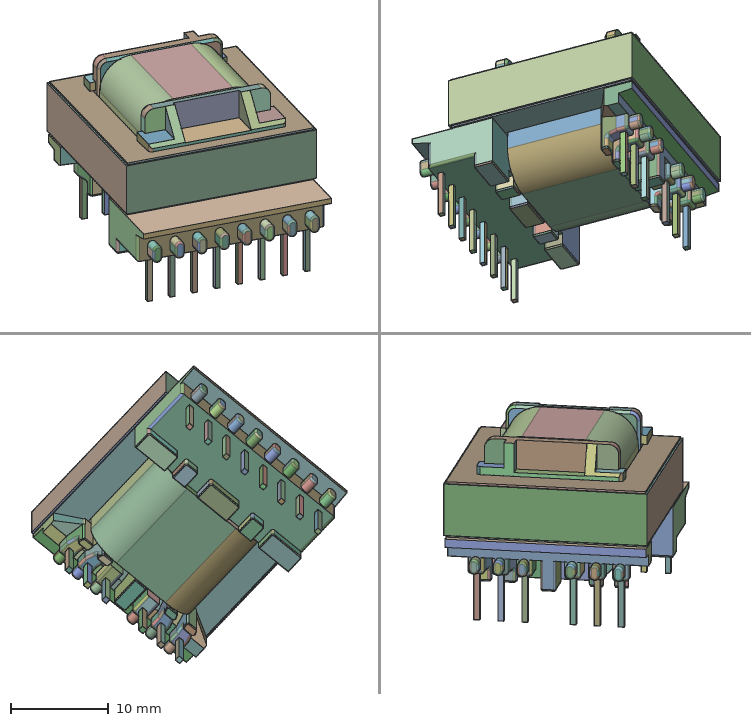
import cadquery as cq


OVERALL_LENGTH = 24.9
OVERALL_HEIGHT = 18.91

CORE_LENGTH = 20.74
CORE_WIDTH = 21.12
CORE_HEIGHT = 5.9
CORE_STEP = 0.2
WINDOW_LENGTH = 14.0
WINDOW_WIDTH = 14.2
LEG_WIDTH = 5.9

FLANGE_INNER_X = 5.47
FLANGE_OUTER_X = 6.75
FLANGE_HALF_WIDTH = 6.97
FLANGE_CORNER_RADIUS = 1.0
FLANGE_CHAMFER = 0.29
TUBE_HALF_WIDTH = 3.06
SEAT_Z = 3.14
TOP_Z = 6.76
WINDING_HALF_WIDTH = 6.8
WINDING_BOTTOM_Z = -8.2
WINDING_RADIUS = 3.48

LIP_INNER_X = 6.13
LIP_HALF_WIDTH = 7.6
LIP_END_TOP_Z = 4.1
LIP_MIDDLE_TOP_Z = 3.65
LIP_CORNER = 0.38
RIB_INNER_Y = 3.66
RIB_OUTER_Y = 4.71
LEFT_LIP_X = -8.03
LEFT_LIP_EDGE_Z = 3.24
LEFT_SLOPE_END_Z = 3.7
RIGHT_LIP_X = 9.5
RIGHT_LIP_EDGE_Z = 3.32
RIGHT_SLOPE_END_Z = 3.7
RIGHT_POCKET_X = 6.35

RAIL_HALF_WIDTH = 10.43
FOOT_BOTTOM_Z = -8.58
HOLDER_BOTTOM_Z = -7.15
EDGE_RADIUS = 0.28
FOOT_TIP_HEIGHT = 0.18
FOOT_TIP_TAPER = 25
FOOT_END_Z = FOOT_BOTTOM_Z + FOOT_TIP_HEIGHT
LEDGE_ROOT_Z = -4.2

LEFT_LEDGE_X = -10.28
LEFT_LEDGE_EDGE_Z = -4.02
LEFT_FACE_X = -8.79
LEFT_SLAB_BOTTOM_Z = -5.37
LEFT_SLAB_INNER_Z = -4.53
LEFT_SLAB_END_X = -7.13
HOLDER_HALF_WIDTH = 0.83
HOLDER_STRAIGHT_END_X = -7.52
FOOT_FACE_X = -6.35
FOOT_CORNER_RADIUS = 0.25
FOOT_BACK_CHAMFER = 0.18
OUTER_FOOT_DRIFT = 0.31
INNER_FOOT_DRIFT = 0.46
FOOT_TAPER = 0.25
SLAB_BACK_HALF_WIDTH = 7.75
POST_HALF_WIDTH = 0.77
POST_RADIUS = 0.2

RIGHT_LEDGE_X = OVERALL_LENGTH - CORE_LENGTH / 2
RIGHT_LEDGE_EDGE_Z = -3.72
RIGHT_FACE_X = 12.77
RIGHT_FOOT_X = 7.62
CORNER_FOOT_INNER_Y = 6.4
INNER_FOOT_NEAR_Y = 3.67
INNER_FOOT_FAR_Y = 5.35
CENTRE_FOOT_HALF_WIDTH = 2.0

PIN_PITCH = 2.5
PIN_BOTTOM_Z = TOP_Z - OVERALL_HEIGHT
LEFT_PIN_X = -8.02
LEFT_PIN_SIZE = 0.6
RIGHT_PIN_X = 12.0
RIGHT_PIN_SIZE = 0.54
STUD_WIDTH = 1.0
STUD_BOTTOM_Z = -6.87
STUD_TIP_RADIUS = 0.2
LEFT_STUD_X = -9.98
LEFT_STUD_TOP_Z = -5.28
RIGHT_STUD_X = 14.28
RIGHT_STUD_TOP_Z = -5.0

LEFT_PIN_ROWS = [side * step * PIN_PITCH for side in (-1, 1) for step in (1, 2, 3)]
RIGHT_PIN_ROWS = [side * (step + 0.5) * PIN_PITCH for side in (-1, 1) for step in range(4)]


def block(x_range, y_range, z_range):
    """Axis-aligned box between the given limits."""
    (x0, x1), (y0, y1), (z0, z1) = x_range, y_range, z_range
    return cq.Workplane("XY").box(x1 - x0, y1 - y0, z1 - z0, centered=False).translate((x0, y0, z0))


def side_profile(points, y_range):
    """Prism with an XZ outline between two Y positions."""
    y0, y1 = y_range
    return cq.Workplane("XZ").polyline(points).close().extrude(y0 - y1).translate((0, y0, 0))


def plan_profile(points, z_range):
    """Prism with an XY outline between two Z positions."""
    z0, z1 = z_range
    return cq.Workplane("XY").polyline(points).close().extrude(z1 - z0).translate((0, 0, z0))


def add_foot_tip(foot):
    """Continue a foot below its straight sides with a short tapered tip."""
    return foot.faces("<Z").wires().toPending().workplane().extrude(FOOT_TIP_HEIGHT, taper=FOOT_TIP_TAPER)


def both_sides(y0, y1):
    """A Y interval and its mirror image."""
    return [(y0, y1), (-y1, -y0)]


def make_core():
    core = cq.Workplane("XY").box(CORE_LENGTH, CORE_WIDTH, CORE_HEIGHT - 2 * CORE_STEP)
    raised = cq.Workplane("XY").box(CORE_LENGTH - 2 * CORE_STEP, CORE_WIDTH - 2 * CORE_STEP, CORE_HEIGHT)
    core = core.union(raised)
    window = cq.Workplane("XY").box(WINDOW_LENGTH, WINDOW_WIDTH, CORE_HEIGHT)
    leg = cq.Workplane("XY").box(WINDOW_LENGTH, LEG_WIDTH, CORE_HEIGHT)
    return core.cut(window.cut(leg))


def make_winding():
    winding = block(
        (-FLANGE_INNER_X, FLANGE_INNER_X),
        (-WINDING_HALF_WIDTH, WINDING_HALF_WIDTH),
        (WINDING_BOTTOM_Z, TOP_Z),
    )
    return winding.edges("|X").fillet(WINDING_RADIUS)


def make_flange(side):
    """Flange plate on the -X (side = -1) or +X (side = 1) end of the winding."""
    flange = block(
        (FLANGE_INNER_X, FLANGE_OUTER_X),
        (-FLANGE_HALF_WIDTH, FLANGE_HALF_WIDTH),
        (-SEAT_Z, TOP_Z),
    )
    flange = flange.edges("|X and >Z").fillet(FLANGE_CORNER_RADIUS)
    flange = flange.faces("<X").edges("not <Z").chamfer(FLANGE_CHAMFER)
    return flange if side > 0 else flange.mirror("YZ")


def cut_tube(bobbin):
    """Opening for the centre leg of the core."""
    return bobbin.cut(
        block(
            (-FLANGE_OUTER_X, FLANGE_OUTER_X),
            (-TUBE_HALF_WIDTH, TUBE_HALF_WIDTH),
            (-SEAT_Z, SEAT_Z),
        )
    )


def lip_blank(inner_x, flange_x, edge_x, edge_z):
    """Full-height lip with a tapered underside, before its top is cut down."""
    outline = [(inner_x, SEAT_Z), (flange_x, SEAT_Z), (edge_x, edge_z), (edge_x, TOP_Z), (inner_x, TOP_Z)]
    return side_profile(outline, (-LIP_HALF_WIDTH, LIP_HALF_WIDTH))


def lower_lip_top(lip, outer_x, inner_x, flange_x):
    """Cut the lip down to its end and middle heights, which leaves the two ribs standing."""
    for y_range in both_sides(RIB_OUTER_Y, LIP_HALF_WIDTH):
        lip = lip.cut(block(sorted((inner_x, outer_x)), y_range, (LIP_END_TOP_Z, TOP_Z)))
    middle = (-RIB_INNER_Y, RIB_INNER_Y)
    return lip.cut(block(sorted((flange_x, outer_x)), middle, (LIP_MIDDLE_TOP_Z, TOP_Z)))


def make_left_lip():
    lip = lip_blank(-LIP_INNER_X, -FLANGE_OUTER_X, LEFT_LIP_X, LEFT_LIP_EDGE_Z)
    lip = lip.edges("|Z and <X").chamfer(LIP_CORNER)
    slope = [(-FLANGE_OUTER_X, TOP_Z), (LEFT_LIP_X, LEFT_SLOPE_END_Z), (LEFT_LIP_X, TOP_Z)]
    lip = lip.cut(side_profile(slope, (-LIP_HALF_WIDTH, -RIB_INNER_Y)))
    return lower_lip_top(lip, LEFT_LIP_X, -LIP_INNER_X, -FLANGE_OUTER_X)


def make_right_lip():
    lip = lip_blank(LIP_INNER_X, FLANGE_OUTER_X, RIGHT_LIP_X, RIGHT_LIP_EDGE_Z)
    lip = lip.edges("|Z and >X").fillet(LIP_CORNER)
    slope = [(FLANGE_OUTER_X, TOP_Z), (RIGHT_LIP_X, RIGHT_SLOPE_END_Z), (RIGHT_LIP_X, TOP_Z)]
    lip = lip.cut(side_profile(slope, (-LIP_HALF_WIDTH, LIP_HALF_WIDTH)))
    return lower_lip_top(lip, RIGHT_LIP_X, LIP_INNER_X, FLANGE_OUTER_X)


def cut_right_pocket(bobbin):
    """Shallow pocket in the outer face of the right flange, between the ribs."""
    return bobbin.cut(
        block(
            (RIGHT_POCKET_X, FLANGE_OUTER_X),
            (-RIB_INNER_Y, RIB_INNER_Y),
            (LIP_MIDDLE_TOP_Z, TOP_Z),
        )
    )


def make_left_slab():
    """Slab with an overhanging ledge; its ends turn in to meet the flange."""
    side_outline = [
        (LEFT_LEDGE_X, -SEAT_Z),
        (LEFT_LEDGE_X, LEFT_LEDGE_EDGE_Z),
        (LEFT_FACE_X, LEDGE_ROOT_Z),
        (LEFT_FACE_X, LEFT_SLAB_BOTTOM_Z),
        (HOLDER_STRAIGHT_END_X, LEFT_SLAB_BOTTOM_Z),
        (-FLANGE_INNER_X, LEFT_SLAB_INNER_Z),
        (-FLANGE_INNER_X, -SEAT_Z),
    ]
    half_plan = [
        (LEFT_LEDGE_X, RAIL_HALF_WIDTH),
        (LEFT_SLAB_END_X, RAIL_HALF_WIDTH),
        (-FLANGE_INNER_X - FOOT_BACK_CHAMFER, SLAB_BACK_HALF_WIDTH),
        (-FLANGE_INNER_X, SLAB_BACK_HALF_WIDTH - FOOT_BACK_CHAMFER),
    ]
    plan = half_plan + [(x, -y) for x, y in reversed(half_plan)]
    slab = side_profile(side_outline, (-RAIL_HALF_WIDTH, RAIL_HALF_WIDTH))
    return slab.intersect(plan_profile(plan, (FOOT_BOTTOM_Z, 0)))


def make_short_holder(y):
    """Pin holder that ends above the winding's underside, without a foot."""
    holder = block(
        (LEFT_FACE_X, FOOT_FACE_X),
        (y - HOLDER_HALF_WIDTH, y + HOLDER_HALF_WIDTH),
        (HOLDER_BOTTOM_Z, LEFT_SLAB_BOTTOM_Z),
    )
    rounded_edges = holder.faces("<X").edges("not >Z").vals() + holder.faces("<Z").edges("|X").vals()
    return holder.newObject(rounded_edges).fillet(EDGE_RADIUS)


def make_footed_holder(row, drift):
    """Pin holder that leans towards the middle and ends in a foot beside the winding.

    Built for a positive row position; the other half of the rail uses its mirror image.
    """
    low, high = row - HOLDER_HALF_WIDTH, row + HOLDER_HALF_WIDTH
    foot_low, foot_high = low - drift, high - drift - FOOT_TAPER
    chamfer_x = -FLANGE_INNER_X - FOOT_BACK_CHAMFER
    plan = [
        (LEFT_FACE_X, low),
        (HOLDER_STRAIGHT_END_X, low),
        (chamfer_x, foot_low),
        (-FLANGE_INNER_X, foot_low + FOOT_BACK_CHAMFER),
        (-FLANGE_INNER_X, foot_high - FOOT_BACK_CHAMFER),
        (chamfer_x, foot_high),
        (HOLDER_STRAIGHT_END_X, high),
        (LEFT_FACE_X, high),
    ]
    holder = plan_profile(plan, (FOOT_END_Z, LEFT_SLAB_INNER_Z))
    under_holder = block((LEFT_FACE_X, FOOT_FACE_X), (foot_low, high), (FOOT_BOTTOM_Z, HOLDER_BOTTOM_Z))
    under_holder = under_holder.edges("|Y and >X and >Z").fillet(FOOT_CORNER_RADIUS)
    holder = holder.cut(under_holder)
    front_edges = holder.faces("<X").edges("not >Z")
    underside = holder.faces(cq.selectors.NearestToPointSelector((LEFT_PIN_X, row, HOLDER_BOTTOM_Z)))
    rounded_edges = front_edges.vals() + underside.edges("not |Y").vals()
    return add_foot_tip(holder.newObject(rounded_edges).fillet(EDGE_RADIUS))


def make_centre_post():
    post = block(
        (LEFT_FACE_X, -FLANGE_INNER_X),
        (-POST_HALF_WIDTH, POST_HALF_WIDTH),
        (FOOT_END_Z, LEDGE_ROOT_Z),
    )
    return add_foot_tip(post.edges("|Z and <X").fillet(POST_RADIUS))


def make_right_rail():
    """Solid rail with an overhanging ledge, stepped up behind a row of five feet."""
    ledge = [
        (FLANGE_INNER_X, -SEAT_Z),
        (RIGHT_LEDGE_X, -SEAT_Z),
        (RIGHT_LEDGE_X, RIGHT_LEDGE_EDGE_Z),
        (RIGHT_FACE_X - EDGE_RADIUS, LEDGE_ROOT_Z),
        (FLANGE_INNER_X, LEDGE_ROOT_Z),
    ]
    rail = side_profile(ledge, (-RAIL_HALF_WIDTH, RAIL_HALF_WIDTH))
    body = block(
        (FLANGE_INNER_X, RIGHT_FACE_X),
        (-RAIL_HALF_WIDTH, RAIL_HALF_WIDTH),
        (HOLDER_BOTTOM_Z, LEDGE_ROOT_Z),
    )
    body = body.edges("(|Z and >X) or (|X and <Z)").fillet(EDGE_RADIUS)
    rail = rail.union(body)
    feet = [(-CENTRE_FOOT_HALF_WIDTH, CENTRE_FOOT_HALF_WIDTH)]
    feet += both_sides(INNER_FOOT_NEAR_Y, INNER_FOOT_FAR_Y)
    feet += both_sides(CORNER_FOOT_INNER_Y, RAIL_HALF_WIDTH)
    for low, high in feet:
        foot = block((FLANGE_INNER_X, RIGHT_FOOT_X), (low, high), (FOOT_END_Z, LEDGE_ROOT_Z))
        rail = rail.union(add_foot_tip(foot.edges("|Z and >X").fillet(EDGE_RADIUS)))
    return rail


def make_pin(x, y, size):
    half = size / 2
    return block((x - half, x + half), (y - half, y + half), (PIN_BOTTOM_Z, LEDGE_ROOT_Z))


def make_stud(face_x, tip_x, y, top_z):
    """Horizontal stud with an upright slot-shaped section and a rounded tip."""
    height = top_z - STUD_BOTTOM_Z
    outline = cq.Workplane("YZ").center(y, (top_z + STUD_BOTTOM_Z) / 2).slot2D(height, STUD_WIDTH, 90)
    stud = outline.extrude(tip_x - face_x)
    tip = "<X" if tip_x < face_x else ">X"
    return stud.faces(tip).fillet(STUD_TIP_RADIUS).translate((face_x, 0, 0))


def make_bobbin():
    bobbin = make_winding()
    for side in (-1, 1):
        bobbin = bobbin.union(make_flange(side))
    bobbin = bobbin.union(make_left_lip()).union(make_right_lip())
    bobbin = cut_right_pocket(bobbin)
    bobbin = bobbin.union(make_left_slab()).union(make_centre_post()).union(make_right_rail())
    bobbin = cut_tube(bobbin)

    for row, drift in ((2 * PIN_PITCH, INNER_FOOT_DRIFT), (3 * PIN_PITCH, OUTER_FOOT_DRIFT)):
        holder = make_footed_holder(row, drift)
        bobbin = bobbin.union(holder).union(holder.mirror("XZ"))
    for y in (-PIN_PITCH, PIN_PITCH):
        bobbin = bobbin.union(make_short_holder(y))

    for y in LEFT_PIN_ROWS:
        bobbin = bobbin.union(make_stud(LEFT_FACE_X, LEFT_STUD_X, y, LEFT_STUD_TOP_Z))
        bobbin = bobbin.union(make_pin(LEFT_PIN_X, y, LEFT_PIN_SIZE))

    for y in RIGHT_PIN_ROWS:
        bobbin = bobbin.union(make_stud(RIGHT_FACE_X, RIGHT_STUD_X, y, RIGHT_STUD_TOP_Z))
        bobbin = bobbin.union(make_pin(RIGHT_PIN_X, y, RIGHT_PIN_SIZE))
    return bobbin


core = make_core()
bobbin = make_bobbin()
result = cq.Compound.makeCompound([core.val(), *bobbin.vals()])